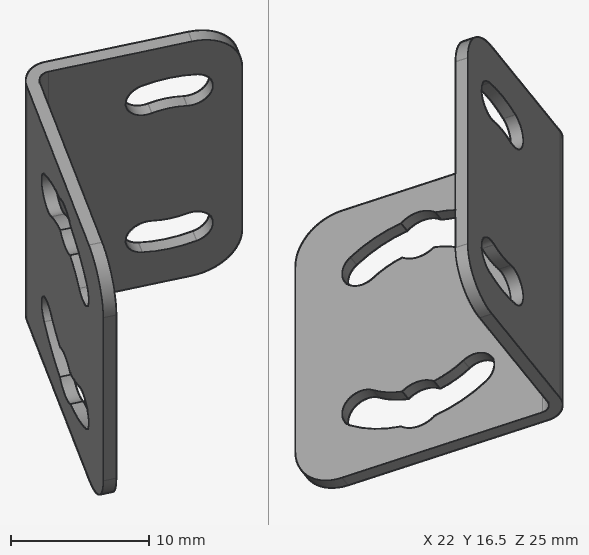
import cadquery as cq
import math

LENGTH_X = 22.0
LENGTH_Y = 16.5
HEIGHT = 25.0
THICKNESS = 1.0
INNER_BEND_RADIUS = 0.9
OUTER_BEND_RADIUS = INNER_BEND_RADIUS + THICKNESS
CORNER_RADIUS = 3.8

SLOT_RADIUS = 1.6
FRONT_PIVOT_X = 12.0
FRONT_ARC_RADIUS = 8.0
FRONT_HALF_ANGLE = 35.0
SIDE_PIVOT_Y = 11.0
SIDE_ARC_RADIUS = 7.5
SIDE_HALF_ANGLE = 13.0

CENTER_HOLE_RADIUS = 2.1
CENTER_HOLE_OFFSET = 7.92


def bent_sheet():
    """L-shaped sheet with its outer bend corner at the origin, centred on Z."""
    sheet = (
        cq.Workplane("XY")
        .polyline([
            (0, 0),
            (LENGTH_X, 0),
            (LENGTH_X, THICKNESS),
            (THICKNESS, THICKNESS),
            (THICKNESS, LENGTH_Y),
            (0, LENGTH_Y),
        ])
        .close()
        .extrude(HEIGHT / 2, both=True)
    )
    sheet = sheet.edges(cq.selectors.NearestToPointSelector((0, 0, 0))).fillet(OUTER_BEND_RADIUS)
    inner_edge = cq.selectors.NearestToPointSelector((THICKNESS, THICKNESS, 0))
    sheet = sheet.edges(inner_edge).fillet(INNER_BEND_RADIUS)
    sheet = sheet.faces(">X").edges("|Y").fillet(CORNER_RADIUS)
    return sheet.faces(">Y").edges("|X").fillet(CORNER_RADIUS)


def arc_slot(plane, arc_radius, half_angle, side):
    """Round-ended cutter along an arc about the plane origin; side is +1 (up) or -1 (down)."""
    angle = math.radians(half_angle)

    def arc_point(radius, turn):
        return (radius * math.sin(turn), side * radius * math.cos(turn))

    outer = arc_radius + SLOT_RADIUS
    inner = arc_radius - SLOT_RADIUS
    end_x, end_y = arc_point(arc_radius, angle)
    tip_x = end_x + SLOT_RADIUS * math.cos(angle)
    tip_y = end_y - side * SLOT_RADIUS * math.sin(angle)
    return (
        cq.Workplane(plane)
        .moveTo(*arc_point(outer, -angle))
        .threePointArc(arc_point(outer, 0), arc_point(outer, angle))
        .threePointArc((tip_x, tip_y), arc_point(inner, angle))
        .threePointArc(arc_point(inner, 0), arc_point(inner, -angle))
        .threePointArc((-tip_x, tip_y), arc_point(outer, -angle))
        .close()
        .extrude(THICKNESS, both=True)
    )


def center_hole(plane, side):
    """Round cutter at the middle of a front slot."""
    return (
        cq.Workplane(plane)
        .center(0, side * CENTER_HOLE_OFFSET)
        .circle(CENTER_HOLE_RADIUS)
        .extrude(THICKNESS, both=True)
    )


front_plane = cq.Plane(origin=(FRONT_PIVOT_X, 0, 0), xDir=(1, 0, 0), normal=(0, -1, 0))
side_plane = cq.Plane(origin=(0, SIDE_PIVOT_Y, 0), xDir=(0, 1, 0), normal=(1, 0, 0))

result = bent_sheet()
for side in (1, -1):
    result = result.cut(arc_slot(front_plane, FRONT_ARC_RADIUS, FRONT_HALF_ANGLE, side))
    result = result.cut(center_hole(front_plane, side))
    result = result.cut(arc_slot(side_plane, SIDE_ARC_RADIUS, SIDE_HALF_ANGLE, side))